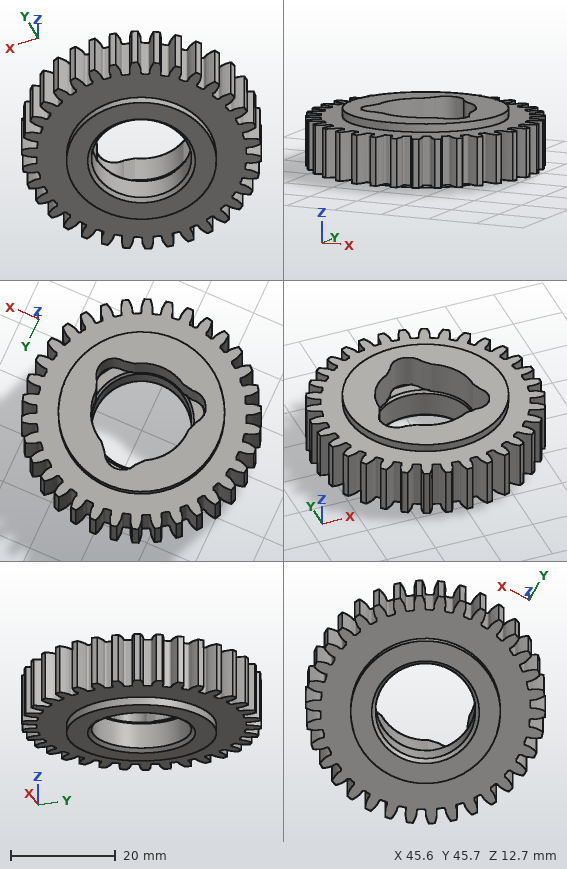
import cadquery as cq
import math

TOOTH_COUNT = 34
TIP_DIAMETER = 45.7
PRESSURE_ANGLE = math.radians(14.5)
MODULE = TIP_DIAMETER / (TOOTH_COUNT + 2)
TIP_RADIUS = TIP_DIAMETER / 2
PITCH_RADIUS = MODULE * TOOTH_COUNT / 2
BASE_RADIUS = PITCH_RADIUS * math.cos(PRESSURE_ANGLE)
ROOT_RADIUS = PITCH_RADIUS - 1.25 * MODULE
ROOT_FILLET = 0.35
FLANK_POINTS = 6

TOTAL_HEIGHT = 12.7
STEP_HEIGHT = 1.6
FACE_WIDTH = TOTAL_HEIGHT - 2 * STEP_HEIGHT
BUSHING_HEIGHT = 6.2
HUB_DIAMETER = 31.75

FLANGE_DIAMETER = 28.58
SLEEVE_DIAMETER = 25.4
BORE_DIAMETER = 19.05
TOP_RIM_CHAMFER = 0.5
SLEEVE_CHAMFER = 0.65
BOTTOM_RIM_CHAMFER = 0.75

LOBE_COUNT = 3
OPENING_RADIUS = 9.65
LOBE_REACH = 12.3
LOBE_HALF_WIDTH = 3.15
LOBE_SHOULDER = 10.15
MOUTH_HALF_ANGLE = math.radians(28.4)


def polar(radius, angle):
    return radius * math.cos(angle), radius * math.sin(angle)


def involute(pressure_angle):
    return math.tan(pressure_angle) - pressure_angle


BASE_HALF_ANGLE = math.pi / (2 * TOOTH_COUNT) + involute(PRESSURE_ANGLE)


def flank(tooth_angle, side):
    """Points of one involute flank, from the base circle to the tip."""
    tip_roll = math.sqrt((TIP_RADIUS / BASE_RADIUS) ** 2 - 1)
    points = []
    for index in range(FLANK_POINTS):
        roll = tip_roll * index / (FLANK_POINTS - 1)
        radius = BASE_RADIUS * math.hypot(1, roll)
        half_angle = BASE_HALF_ANGLE - involute(math.atan(roll))
        points.append(polar(radius, tooth_angle + side * half_angle))
    return points


def tooth_outline():
    """Closed outline of all teeth, with radial flanks and fillets below the base circle."""
    pitch_angle = 2 * math.pi / TOOTH_COUNT
    fillet_center_radius = ROOT_RADIUS + ROOT_FILLET
    fillet_angle = math.asin(ROOT_FILLET / fillet_center_radius)
    fillet_top_radius = fillet_center_radius * math.cos(fillet_angle)
    root_half_angle = BASE_HALF_ANGLE + fillet_angle

    def fillet_middle(tooth_angle, side):
        center_angle = tooth_angle + side * root_half_angle
        center_x, center_y = polar(fillet_center_radius, center_angle)
        toward_corner = center_angle + math.pi + side * (math.pi / 2 - fillet_angle) / 2
        offset_x, offset_y = polar(ROOT_FILLET, toward_corner)
        return center_x + offset_x, center_y + offset_y

    first_angle = math.pi / 2
    outline = cq.Workplane("XY").moveTo(*polar(ROOT_RADIUS, first_angle - root_half_angle))
    for index in range(TOOTH_COUNT):
        middle = first_angle + index * pitch_angle
        rising = flank(middle, -1)
        falling = flank(middle, 1)[::-1]
        next_root = middle + pitch_angle - root_half_angle
        outline = (
            outline
            .threePointArc(fillet_middle(middle, -1), polar(fillet_top_radius, middle - BASE_HALF_ANGLE))
            .lineTo(*rising[0])
            .spline(rising[1:], includeCurrent=True)
            .threePointArc(polar(TIP_RADIUS, middle), falling[0])
            .spline(falling[1:], includeCurrent=True)
            .lineTo(*polar(fillet_top_radius, middle + BASE_HALF_ANGLE))
            .threePointArc(fillet_middle(middle, 1), polar(ROOT_RADIUS, middle + root_half_angle))
            .threePointArc(polar(ROOT_RADIUS, middle + pitch_angle / 2), polar(ROOT_RADIUS, next_root))
        )
    return outline.close()


def lobe_cutter(height):
    """One lobe pointing along +Y, closed through the axis."""
    mouth_x = OPENING_RADIUS * math.sin(MOUTH_HALF_ANGLE)
    mouth_y = OPENING_RADIUS * math.cos(MOUTH_HALF_ANGLE)
    return (
        cq.Workplane("XY")
        .lineTo(mouth_x, mouth_y)
        .lineTo(LOBE_HALF_WIDTH, LOBE_SHOULDER)
        .threePointArc((0, LOBE_REACH), (-LOBE_HALF_WIDTH, LOBE_SHOULDER))
        .lineTo(-mouth_x, mouth_y)
        .close()
        .extrude(height)
    )


def lobed_opening():
    height = TOTAL_HEIGHT - BUSHING_HEIGHT
    opening = cq.Workplane("XY").circle(OPENING_RADIUS).extrude(height)
    for index in range(LOBE_COUNT):
        turn = index * 360 / LOBE_COUNT
        opening = opening.union(lobe_cutter(height).rotate((0, 0, 0), (0, 0, 1), turn))
    return opening.translate((0, 0, BUSHING_HEIGHT))


def make_gear():
    teeth = tooth_outline().extrude(FACE_WIDTH).translate((0, 0, STEP_HEIGHT))
    hub = (
        cq.Workplane("XY", origin=(0, 0, TOTAL_HEIGHT - STEP_HEIGHT))
        .circle(HUB_DIAMETER / 2)
        .extrude(STEP_HEIGHT)
    )
    bushing_seat = cq.Workplane("XY").circle(SLEEVE_DIAMETER / 2).extrude(BUSHING_HEIGHT)
    return teeth.union(hub).cut(bushing_seat).cut(lobed_opening())


def make_bushing():
    flange = cq.Workplane("XY").circle(FLANGE_DIAMETER / 2).extrude(STEP_HEIGHT)
    sleeve = cq.Workplane("XY").circle(SLEEVE_DIAMETER / 2).extrude(BUSHING_HEIGHT)
    bore = cq.Workplane("XY").circle(BORE_DIAMETER / 2).extrude(BUSHING_HEIGHT)
    body = flange.union(sleeve).cut(bore)
    inner = cq.selectors.RadiusNthSelector(0)
    outer = cq.selectors.RadiusNthSelector(-1)
    body = body.faces(">Z").edges(outer).chamfer(SLEEVE_CHAMFER)
    body = body.faces(">Z").edges(inner).chamfer(TOP_RIM_CHAMFER)
    return body.faces("<Z").edges(inner).chamfer(BOTTOM_RIM_CHAMFER)


gear = make_gear()
bushing = make_bushing()

result = cq.Compound.makeCompound([gear.val(), bushing.val()])